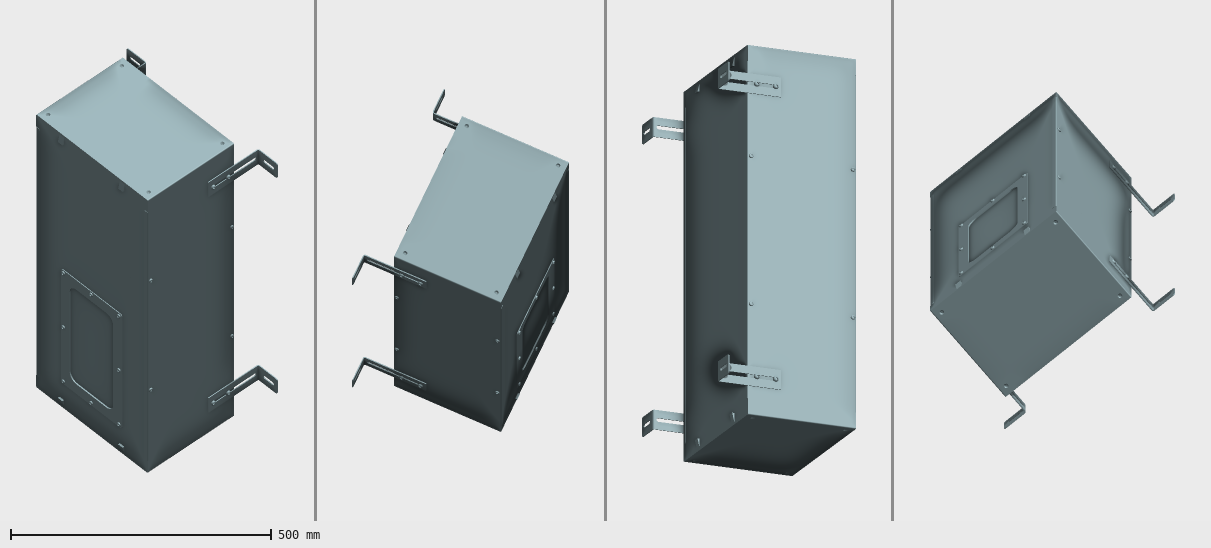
import cadquery as cq

BODY_WIDTH = 316.0
BODY_DEPTH = 227.5
BODY_HEIGHT = 748.5
BEND_RADIUS = 2.0

LAP_WIDTH = 10.0
LAP_RAISE = 1.0
LAP_END_GAP = 33.0
LAP_CORNER = 4.5

COVER_WIDTH = 172.0
COVER_HEIGHT = 312.0
COVER_THICKNESS = 1.5
COVER_CORNER = 4.5
COVER_CENTER_Z = -150.0
WINDOW_WIDTH = 123.0
WINDOW_HEIGHT = 259.0
WINDOW_CORNER = 19.5
WINDOW_DEPTH = 3.0
COVER_SCREW_INSET = 7.5

TAB_WIDTH = 13.0
TAB_LENGTH = 18.0
TAB_RAISE = 4.0
TAB_SPACING = 171.0
TAB_END_GAP = 5.0

OVERALL_WIDTH = 426.0
BRACKET_SHEET = 2.0
BRACKET_BEND_RADIUS = 2.0
BRACKET_HEIGHT = 40.0
BRACKET_SPACING = 592.0
BRACKET_REACH = 63.0
LEG_LENGTH = 132.5
LEG_SLOT_LENGTH = 118.0
LEG_SLOT_START = 7.5
FOOT_SLOT_LENGTH = 30.0
FOOT_SLOT_OFFSET = 24.0
SLOT_WIDTH = 7.5
FOOT_CORNER = 4.5

SCREW_RADIUS = 4.5
SCREW_HEIGHT = 4.0
BRACKET_SCREW_RADIUS = 5.0
BRACKET_SCREW_HEIGHT = 6.0
BRACKET_SCREW_INSETS = (19.0, 58.5)
SIDE_SCREW_HEIGHT = 3.0
SIDE_SCREW_INSET = 7.5
SIDE_SCREW_SPACING = 299.5
LID_SCREW_RADIUS = 4.5
LID_SCREW_DEPTH = 2.0
LID_SCREW_INSET_X = 16.0
LID_SCREW_INSET_Y = 17.0
SOCKET_RATIO = 0.5
HEAD_ROUND_RATIO = 0.6

HALF_WIDTH = BODY_WIDTH / 2
HALF_DEPTH = BODY_DEPTH / 2
HALF_HEIGHT = BODY_HEIGHT / 2
FACE_Y = HALF_DEPTH - LAP_RAISE
OVERLAP = 1.5


def centred_box(x_size, y_size, z_size, center):
    return cq.Workplane("XY").box(x_size, y_size, z_size).translate(center)


def mirrored_x(shape):
    return shape.union(shape.mirror("YZ"))


def mirrored_y(shape):
    return shape.union(shape.mirror("XZ"))


def mirrored_z(shape):
    return shape.union(shape.mirror("XY"))


def screw_head(seat, direction, radius, height):
    """Rounded head standing on `seat`, with a shallow socket in its top."""
    base = cq.Workplane(cq.Plane(origin=seat, xDir=(0, 0, 1), normal=direction))
    head = base.workplane(offset=-OVERLAP).circle(radius).extrude(height + OVERLAP)
    top = cq.selectors.DirectionMinMaxSelector(cq.Vector(*direction), True)
    head = head.faces(top).edges().fillet(height * HEAD_ROUND_RATIO)
    socket = base.workplane(offset=height / 2).circle(radius * SOCKET_RATIO).extrude(height)
    return head.cut(socket)


def make_body():
    """Box with bent side edges at top and bottom, and lapped flanges on front and rear."""
    box = centred_box(BODY_WIDTH, 2 * FACE_Y, BODY_HEIGHT, (0, 0, 0)).edges("|Y").fillet(BEND_RADIUS)
    lap_height = BODY_HEIGHT - 2 * LAP_END_GAP
    bend = centred_box(BODY_WIDTH, BODY_DEPTH, lap_height, (0, 0, 0)).edges("|Z").fillet(BEND_RADIUS)
    lap_x = HALF_WIDTH - LAP_WIDTH / 2
    lap = centred_box(LAP_WIDTH, BODY_DEPTH, lap_height, (lap_x, 0, 0))
    lap = lap.edges("|Y and <X").fillet(LAP_CORNER)
    corner_cut = mirrored_x(centred_box(LAP_WIDTH, BODY_DEPTH, lap_height, (lap_x, 0, 0)))
    return box.cut(corner_cut.cut(bend)).union(mirrored_x(lap).intersect(bend))


def make_cover():
    """Raised rounded plate carrying eight screws around its rim."""
    seat_y = -FACE_Y - COVER_THICKNESS
    center = (0, -FACE_Y + (OVERLAP - COVER_THICKNESS) / 2, COVER_CENTER_Z)
    cover = centred_box(COVER_WIDTH, COVER_THICKNESS + OVERLAP, COVER_HEIGHT, center)
    cover = cover.edges("|Y").fillet(COVER_CORNER)
    column_x = COVER_WIDTH / 2 - COVER_SCREW_INSET
    row_z = COVER_HEIGHT / 2 - COVER_SCREW_INSET
    height = HALF_DEPTH + SCREW_HEIGHT + seat_y
    for column in (-1, 0, 1):
        for row in (-1, 0, 1):
            if (column, row) != (0, 0):
                seat = (column * column_x, seat_y, COVER_CENTER_Z + row * row_z)
                cover = cover.union(screw_head(seat, (0, -1, 0), SCREW_RADIUS, height))
    return cover


def make_window():
    """Block that sinks the round-cornered window into the cover."""
    center = (0, -FACE_Y - COVER_THICKNESS, COVER_CENTER_Z)
    window = centred_box(WINDOW_WIDTH, 2 * WINDOW_DEPTH, WINDOW_HEIGHT, center)
    return window.edges("|Y").fillet(WINDOW_CORNER)


def make_tabs():
    """Wedges that rise from the face towards the middle of the cabinet."""
    outer_z = HALF_HEIGHT - TAB_END_GAP
    inner_z = outer_z - TAB_LENGTH
    tip_y = -HALF_DEPTH - TAB_RAISE
    root_y = -FACE_Y + OVERLAP
    profile = [(root_y, outer_z), (-FACE_Y, outer_z), (tip_y, inner_z), (root_y, inner_z)]
    tab = cq.Workplane("YZ").polyline(profile).close().extrude(TAB_WIDTH / 2, both=True)
    return mirrored_z(mirrored_y(mirrored_x(tab.translate((TAB_SPACING / 2, 0, 0)))))


def make_brackets():
    """Four L-brackets, each with a slotted leg, a slotted foot and two screws."""
    rear_y = HALF_DEPTH + BRACKET_REACH
    center_z = BRACKET_SPACING / 2
    leg_x = HALF_WIDTH + BRACKET_SHEET / 2
    foot_y = rear_y - BRACKET_SHEET / 2

    profile = [
        (HALF_WIDTH, rear_y - LEG_LENGTH),
        (HALF_WIDTH, rear_y),
        (OVERALL_WIDTH / 2, rear_y),
        (OVERALL_WIDTH / 2, rear_y - BRACKET_SHEET),
        (HALF_WIDTH + BRACKET_SHEET, rear_y - BRACKET_SHEET),
        (HALF_WIDTH + BRACKET_SHEET, rear_y - LEG_LENGTH),
    ]
    bottom_z = center_z - BRACKET_HEIGHT / 2
    bracket = cq.Workplane("XY", origin=(0, 0, bottom_z)).polyline(profile).close().extrude(BRACKET_HEIGHT)
    nearest_to = cq.selectors.NearestToPointSelector
    inner_bend = nearest_to((HALF_WIDTH + BRACKET_SHEET, rear_y - BRACKET_SHEET, center_z))
    outer_bend = nearest_to((HALF_WIDTH, rear_y, center_z))
    bracket = bracket.edges(outer_bend).fillet(BRACKET_BEND_RADIUS + BRACKET_SHEET)
    bracket = bracket.edges(inner_bend).fillet(BRACKET_BEND_RADIUS)
    bracket = bracket.edges("|Y and >X").fillet(FOOT_CORNER)

    leg_slot_y = rear_y - LEG_SLOT_START - LEG_SLOT_LENGTH / 2
    leg_slot = cq.Workplane("YZ", origin=(leg_x, leg_slot_y, center_z))
    leg_slot = leg_slot.slot2D(LEG_SLOT_LENGTH, SLOT_WIDTH).extrude(BRACKET_SHEET, both=True)
    foot_slot = cq.Workplane("XZ", origin=(OVERALL_WIDTH / 2 - FOOT_SLOT_OFFSET, foot_y, center_z))
    foot_slot = foot_slot.slot2D(FOOT_SLOT_LENGTH, SLOT_WIDTH).extrude(BRACKET_SHEET, both=True)

    bracket = bracket.cut(leg_slot).cut(foot_slot)
    for inset in BRACKET_SCREW_INSETS:
        seat = (HALF_WIDTH, HALF_DEPTH - inset, center_z)
        bracket = bracket.union(screw_head(seat, (1, 0, 0), BRACKET_SCREW_RADIUS, BRACKET_SCREW_HEIGHT))
    return mirrored_z(mirrored_x(bracket))


def make_side_screws():
    """Four screws on each side panel, near its front and rear edges."""
    seat = (HALF_WIDTH, HALF_DEPTH - SIDE_SCREW_INSET, SIDE_SCREW_SPACING / 2)
    screw = screw_head(seat, (1, 0, 0), SCREW_RADIUS, SIDE_SCREW_HEIGHT)
    return mirrored_z(mirrored_y(mirrored_x(screw)))


def make_lid_screw_recesses():
    """Countersinks in the top and bottom faces."""
    x = HALF_WIDTH - LID_SCREW_INSET_X
    y = HALF_DEPTH - LID_SCREW_INSET_Y
    mouth = cq.Vector(x, y, HALF_HEIGHT)
    down = cq.Vector(0, 0, -1)
    cone = cq.Solid.makeCone(LID_SCREW_RADIUS, LID_SCREW_RADIUS * SOCKET_RATIO, LID_SCREW_DEPTH, mouth, down)
    return mirrored_z(mirrored_y(mirrored_x(cq.Workplane(cone))))


result = make_body()
result = result.union(make_cover()).cut(make_window())
result = result.union(make_tabs()).union(make_brackets()).union(make_side_screws())
result = result.cut(make_lid_screw_recesses())